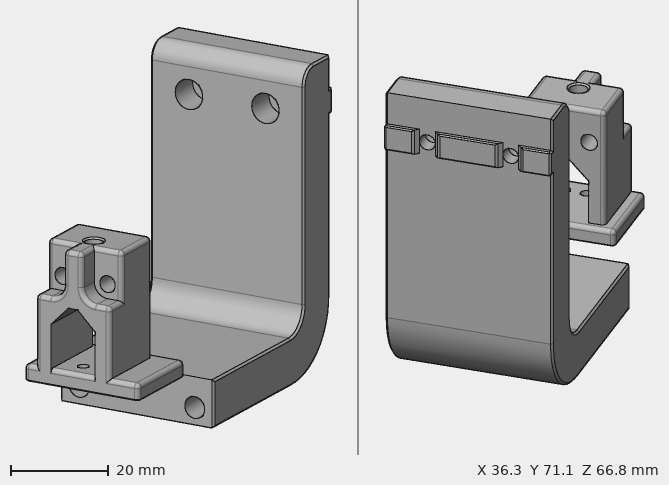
import cadquery as cq
import math


BRACKET_WIDTH = 36.25
BRACKET_HEIGHT = 66.75
BRACKET_REACH = 47.4
UPRIGHT_THICKNESS = 10.6
ARM_THICKNESS = 10.4
TOP_ROUND = 4.0
INNER_BEND = 5.6
OUTER_BEND = 15.0
SIDE_CHAMFER = 0.46

RIB_DEPTH = 1.1
RIB_HEIGHT = 5.55
RIB_TIP_CHAMFER = 0.3
RIB_GAP_AT_ROOT = 3.4
RIB_GAP_AT_TIP = RIB_GAP_AT_ROOT + 2 * (RIB_DEPTH + RIB_TIP_CHAMFER)

SCREW_SPACING = 18.05
SCREW_Z = 56.8
SCREW_DIAMETER = 3.4
SCREW_HEAD_DIAMETER = 6.5
SCREW_HEAD_DEPTH = 7.1

END_HOLE_SPACING = 27.3
END_HOLE_Z = 3.8
END_HOLE_DIAMETER = 4.7
END_HOLE_DEPTH = 9.95

OVERALL_DEPTH = 71.1
BLOCK_FRONT_Y = RIB_DEPTH - OVERALL_DEPTH
BLOCK_ROUND = 1.0

FLANGE_WIDTH = 27.0
FLANGE_DEPTH = 18.7
FLANGE_BOTTOM_Z = 11.5
FLANGE_THICKNESS = 3.6
FLANGE_BOTTOM_CHAMFER = 0.3
FLANGE_TOP_Z = FLANGE_BOTTOM_Z + FLANGE_THICKNESS

TOWER_X = -2.0
TOWER_WIDTH = 17.55
TOWER_DEPTH = 16.9
TOWER_TOP_Z = 41.15

NOTCH_DEPTH = 4.9
NOTCH_FLOOR_Z = 30.6
NOTCH_CORNER = 3.1
WEB_WIDTH = 4.35
NOTCH_HOLE_DIAMETER = 3.6

PASSAGE_WIDTH = 10.4
PASSAGE_SHOULDER_Z = 24.75
PASSAGE_ROOF_WIDTH = 2.1
PASSAGE_ROOF_Z = PASSAGE_SHOULDER_Z + (PASSAGE_WIDTH - PASSAGE_ROOF_WIDTH) / 2

TOP_HOLE_DIAMETER = 4.0
TOP_HOLE_RIM_DIAMETER = 4.7
TOP_HOLE_Y = -61.55

FLOOR_HOLE_DIAMETER = 2.4
FLOOR_HOLE_SPACING = 4.6
FLOOR_HOLE_Y = -65.3
FLOOR_HOLE_DEPTH = 9.6


def cylinder_along_y(x, z, diameter, y_start, y_end):
    """Round bar parallel to Y, used to cut a hole."""
    axis = cq.Vector(0, math.copysign(1, y_end - y_start), 0)
    return cq.Workplane(
        cq.Solid.makeCylinder(diameter / 2, abs(y_end - y_start), cq.Vector(x, y_start, z), axis)
    )


def cylinder_along_z(x, y, diameter, z_start, z_end):
    """Round bar parallel to Z, used to cut a hole."""
    return cq.Workplane(cq.Solid.makeCylinder(diameter / 2, z_end - z_start, cq.Vector(x, y, z_start)))


def box_between(x_range, y_range, z_range):
    """Box given by its limits along the three axes."""
    sizes = [high - low for low, high in (x_range, y_range, z_range)]
    corner = (x_range[0], y_range[0], z_range[0])
    return cq.Workplane("XY").box(*sizes, centered=False).translate(corner)


def bracket_blank():
    """Bracket with an unbroken rib, extruded across its width from an outline in the YZ plane."""
    rib_top = SCREW_Z + RIB_HEIGHT / 2
    rib_bottom = SCREW_Z - RIB_HEIGHT / 2
    diagonal = math.sqrt(0.5)
    front = -UPRIGHT_THICKNESS
    top_centre = (front + TOP_ROUND, BRACKET_HEIGHT - TOP_ROUND)
    inner_centre = (front - INNER_BEND, ARM_THICKNESS + INNER_BEND)
    outer_centre = (-OUTER_BEND, OUTER_BEND)

    def on_arc(centre, radius, y_sign, z_sign):
        return (centre[0] + y_sign * radius * diagonal, centre[1] + z_sign * radius * diagonal)

    return (
        cq.Workplane("YZ", origin=(-BRACKET_WIDTH / 2, 0, 0))
        .moveTo(0, BRACKET_HEIGHT)
        .lineTo(top_centre[0], BRACKET_HEIGHT)
        .threePointArc(on_arc(top_centre, TOP_ROUND, -1, 1), (front, top_centre[1]))
        .lineTo(front, inner_centre[1])
        .threePointArc(on_arc(inner_centre, INNER_BEND, 1, -1), (inner_centre[0], ARM_THICKNESS))
        .lineTo(-BRACKET_REACH, ARM_THICKNESS)
        .lineTo(-BRACKET_REACH, 0)
        .lineTo(outer_centre[0], 0)
        .threePointArc(on_arc(outer_centre, OUTER_BEND, 1, -1), (0, outer_centre[1]))
        .lineTo(0, rib_bottom)
        .lineTo(RIB_DEPTH, rib_bottom)
        .lineTo(RIB_DEPTH, rib_top)
        .lineTo(0, rib_top)
        .close()
        .extrude(BRACKET_WIDTH)
    )


def rib_gap(x):
    """Cutter that opens the rib at a screw hole, flaring at 45 degrees with a bevelled lip."""
    bevel_y = RIB_DEPTH - RIB_TIP_CHAMFER
    bevel_x = RIB_GAP_AT_ROOT / 2 + bevel_y
    return (
        cq.Workplane("XY", origin=(x, 0, SCREW_Z - RIB_HEIGHT))
        .moveTo(-RIB_GAP_AT_ROOT / 2, 0)
        .lineTo(RIB_GAP_AT_ROOT / 2, 0)
        .lineTo(bevel_x, bevel_y)
        .lineTo(RIB_GAP_AT_TIP / 2, RIB_DEPTH)
        .lineTo(-RIB_GAP_AT_TIP / 2, RIB_DEPTH)
        .lineTo(-bevel_x, bevel_y)
        .close()
        .extrude(2 * RIB_HEIGHT)
    )


def make_bracket():
    bracket = bracket_blank().faces("<X or >X").edges().chamfer(SIDE_CHAMFER)
    for side in (-1, 1):
        bracket = bracket.cut(rib_gap(side * SCREW_SPACING / 2))
    bracket = bracket.faces(">Y").edges("|X").chamfer(RIB_TIP_CHAMFER)
    for side in (-1, 1):
        screw_x = side * SCREW_SPACING / 2
        head_floor_y = SCREW_HEAD_DEPTH - UPRIGHT_THICKNESS
        bracket = bracket.cut(cylinder_along_y(screw_x, SCREW_Z, SCREW_DIAMETER, -UPRIGHT_THICKNESS, RIB_DEPTH))
        bracket = bracket.cut(
            cylinder_along_y(screw_x, SCREW_Z, SCREW_HEAD_DIAMETER, -UPRIGHT_THICKNESS, head_floor_y)
        )
        end_hole_x = side * END_HOLE_SPACING / 2
        end_hole_floor_y = END_HOLE_DEPTH - BRACKET_REACH
        bracket = bracket.cut(
            cylinder_along_y(end_hole_x, END_HOLE_Z, END_HOLE_DIAMETER, -BRACKET_REACH, end_hole_floor_y)
        )
    return bracket


def make_flange():
    """Foot of the guide block, rounded except for a small chamfer underneath."""
    flange = box_between(
        (-FLANGE_WIDTH / 2, FLANGE_WIDTH / 2),
        (BLOCK_FRONT_Y, BLOCK_FRONT_Y + FLANGE_DEPTH),
        (FLANGE_BOTTOM_Z, FLANGE_TOP_Z),
    )
    flange = flange.edges("|Z or >Z").fillet(BLOCK_ROUND)
    return flange.faces("<Z").edges().chamfer(FLANGE_BOTTOM_CHAMFER)


def corner_notch(side):
    """Cutter for one front notch, with its lower inner corner rounded."""
    inner_x = TOWER_X + side * WEB_WIDTH / 2
    outer_x = TOWER_X + side * TOWER_WIDTH / 2
    notch = box_between(
        sorted((inner_x, outer_x)),
        (BLOCK_FRONT_Y, BLOCK_FRONT_Y + NOTCH_DEPTH),
        (NOTCH_FLOOR_Z, TOWER_TOP_Z),
    )
    inner_side = "<X" if side > 0 else ">X"
    return notch.faces("<Z").edges(inner_side).fillet(NOTCH_CORNER)


def notch_hole_centre(side):
    """X and Z of the hole concentric with the rounded notch corner."""
    return TOWER_X + side * (WEB_WIDTH / 2 + NOTCH_CORNER), NOTCH_FLOOR_Z + NOTCH_CORNER


def notch_inside_edges(side):
    """Selector for the edges of a notch that lie off the outer faces of the tower."""
    margin = 0.1
    web_side_x = TOWER_X + side * (WEB_WIDTH / 2 - margin)
    outer_side_x = TOWER_X + side * (TOWER_WIDTH / 2 - margin)
    return cq.selectors.BoxSelector(
        (web_side_x, BLOCK_FRONT_Y + margin, NOTCH_FLOOR_Z - margin),
        (outer_side_x, BLOCK_FRONT_Y + NOTCH_DEPTH + margin, TOWER_TOP_Z - margin),
    )


def make_tower():
    """Upright of the guide block; its lower end is buried in the flange."""
    back_y = BLOCK_FRONT_Y + TOWER_DEPTH
    buried_z = FLANGE_TOP_Z - FLANGE_THICKNESS / 2
    tower = box_between(
        (TOWER_X - TOWER_WIDTH / 2, TOWER_X + TOWER_WIDTH / 2), (BLOCK_FRONT_Y, back_y), (buried_z, TOWER_TOP_Z)
    )
    for side in (-1, 1):
        tower = tower.cut(corner_notch(side))

    rounded_edges = cq.selectors.StringSyntaxSelector("not <Z")
    for side in (-1, 1):
        rounded_edges = rounded_edges - notch_inside_edges(side)
    return tower.edges(rounded_edges).fillet(BLOCK_ROUND)


def passage():
    """House-shaped cutter running through the tower just above the flange."""
    half_width = PASSAGE_WIDTH / 2
    half_roof = PASSAGE_ROOF_WIDTH / 2
    return (
        cq.Workplane("XZ", origin=(TOWER_X, BLOCK_FRONT_Y + TOWER_DEPTH, 0))
        .moveTo(-half_width, FLANGE_BOTTOM_Z)
        .lineTo(half_width, FLANGE_BOTTOM_Z)
        .lineTo(half_width, PASSAGE_SHOULDER_Z)
        .lineTo(half_roof, PASSAGE_ROOF_Z)
        .lineTo(-half_roof, PASSAGE_ROOF_Z)
        .lineTo(-half_width, PASSAGE_SHOULDER_Z)
        .close()
        .extrude(TOWER_DEPTH)
    )


def top_hole():
    """Cutter for the vertical hole into the passage, with a chamfered rim."""
    hole = cylinder_along_z(TOWER_X, TOP_HOLE_Y, TOP_HOLE_DIAMETER, PASSAGE_SHOULDER_Z, TOWER_TOP_Z)
    rim_chamfer = (TOP_HOLE_RIM_DIAMETER - TOP_HOLE_DIAMETER) / 2
    rim = cq.Solid.makeCone(
        TOP_HOLE_DIAMETER / 2,
        TOP_HOLE_RIM_DIAMETER / 2,
        rim_chamfer,
        cq.Vector(TOWER_X, TOP_HOLE_Y, TOWER_TOP_Z - rim_chamfer),
    )
    return hole.union(cq.Workplane(rim))


def make_guide_block():
    block = make_flange().union(make_tower().cut(passage())).cut(top_hole())
    back_y = BLOCK_FRONT_Y + TOWER_DEPTH
    for side in (-1, 1):
        hole_x, hole_z = notch_hole_centre(side)
        block = block.cut(
            cylinder_along_y(hole_x, hole_z, NOTCH_HOLE_DIAMETER, BLOCK_FRONT_Y + NOTCH_DEPTH, back_y)
        )
        floor_hole_x = side * FLOOR_HOLE_SPACING / 2
        hole_top_z = FLANGE_BOTTOM_Z + FLOOR_HOLE_DEPTH
        block = block.cut(
            cylinder_along_z(floor_hole_x, FLOOR_HOLE_Y, FLOOR_HOLE_DIAMETER, FLANGE_BOTTOM_Z, hole_top_z)
        )
    return block


bracket = make_bracket()
guide_block = make_guide_block()
result = cq.Compound.makeCompound([bracket.val(), guide_block.val()])